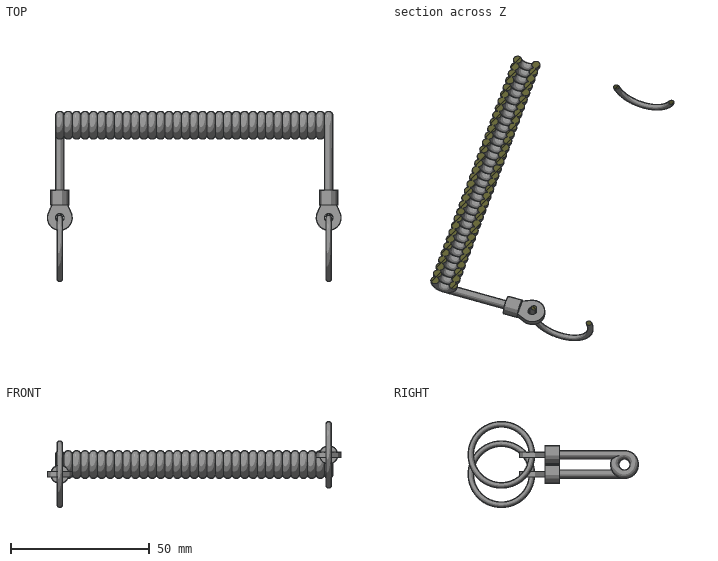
import cadquery as cq
import math

turn_count = 33
coil_length = 97.0
turn_pitch = coil_length / (turn_count - 1)
turn_radius = 3.5
wire_diameter = 3.1
wire_radius = wire_diameter / 2

ferrule_radius = 3.3
ferrule_length = 5.3
ferrule_start = 23.4
ferrule_end = ferrule_start + ferrule_length

ring_outer_diameter = 24.1
ring_wire_diameter = 2.0
ring_wire_radius = ring_wire_diameter / 2
ring_mean_radius = ring_outer_diameter / 2 - ring_wire_radius
ring_distance = 44.4

eye_diameter = 9.0
eye_radius = eye_diameter / 2
eye_thickness = 2.0
eye_hole_radius = 1.5
eye_neck_half_width = 2.9
eye_distance = ring_distance - ring_mean_radius

lead_ends = [
    (-coil_length / 2, -turn_radius),
    (coil_length / 2, turn_radius),
]


def make_coil():
    """Row of round turns whose overlapping sides join them into one tube.

    The tube wall below the X axis is outlined by the wire circles, meeting in
    valleys halfway between turns, and then revolved about the X axis.
    """
    end_x = coil_length / 2
    half_pitch = turn_pitch / 2
    valley_depth = math.sqrt(wire_radius**2 - half_pitch**2)
    inner_valley_z = -turn_radius + valley_depth
    outer_valley_z = -turn_radius - valley_depth
    middle_turns = [-end_x + i * turn_pitch for i in range(1, turn_count - 1)]

    wall = cq.Workplane("XZ").moveTo(-end_x + half_pitch, outer_valley_z)
    wall = wall.threePointArc((-end_x - wire_radius, -turn_radius), (-end_x + half_pitch, inner_valley_z))
    for x in middle_turns:
        wall = wall.threePointArc((x, -turn_radius + wire_radius), (x + half_pitch, inner_valley_z))
    wall = wall.threePointArc((end_x + wire_radius, -turn_radius), (end_x - half_pitch, outer_valley_z))
    for x in reversed(middle_turns):
        wall = wall.threePointArc((x, -turn_radius - wire_radius), (x - half_pitch, outer_valley_z))
    return wall.close().revolve(360, (0, 0, 0), (1, 0, 0))


def make_rod(x, z, radius, start, length):
    """Cylinder running toward -Y from the given distance in front of the coil axis."""
    return cq.Workplane("XZ", origin=(x, -start, z)).circle(radius).extrude(length)


def make_eye(x, z):
    """Flat round eye whose straight sides run tangentially from the ferrule."""
    neck_rise = eye_distance - ferrule_end
    neck_reach = math.hypot(eye_neck_half_width, neck_rise)
    tangent_angle = math.atan2(neck_rise, eye_neck_half_width) - math.acos(eye_radius / neck_reach)
    tangent_x = eye_radius * math.cos(tangent_angle)
    tangent_y = eye_radius * math.sin(tangent_angle)
    eye_plane = cq.Workplane("XY", origin=(x, -eye_distance, z - eye_thickness / 2))
    plate = (
        eye_plane.moveTo(-eye_neck_half_width, neck_rise)
        .lineTo(-tangent_x, tangent_y)
        .threePointArc((0, -eye_radius), (tangent_x, tangent_y))
        .lineTo(eye_neck_half_width, neck_rise)
        .close()
        .extrude(eye_thickness)
    )
    hole = eye_plane.circle(eye_hole_radius).extrude(eye_thickness)
    return plate.cut(hole)


def make_cord():
    """Coil, leads, ferrules and eyes as one solid."""
    cord = make_coil()
    for x, z in lead_ends:
        cord = cord.union(make_rod(x, z, wire_radius, 0, ferrule_start))
        cord = cord.union(make_rod(x, z, ferrule_radius, ferrule_start, ferrule_length))
        cord = cord.union(make_eye(x, z))
    return cord.solids()


def make_ring(x, z):
    """Round-wire ring standing in the YZ plane, threaded through an eye."""
    center = cq.Vector(x, -ring_distance, z)
    return cq.Solid.makeTorus(ring_mean_radius, ring_wire_radius, center, cq.Vector(1, 0, 0))


cord = make_cord()
rings = [make_ring(x, z) for x, z in lead_ends]

result = cq.Compound.makeCompound([cord.val(), *rings])